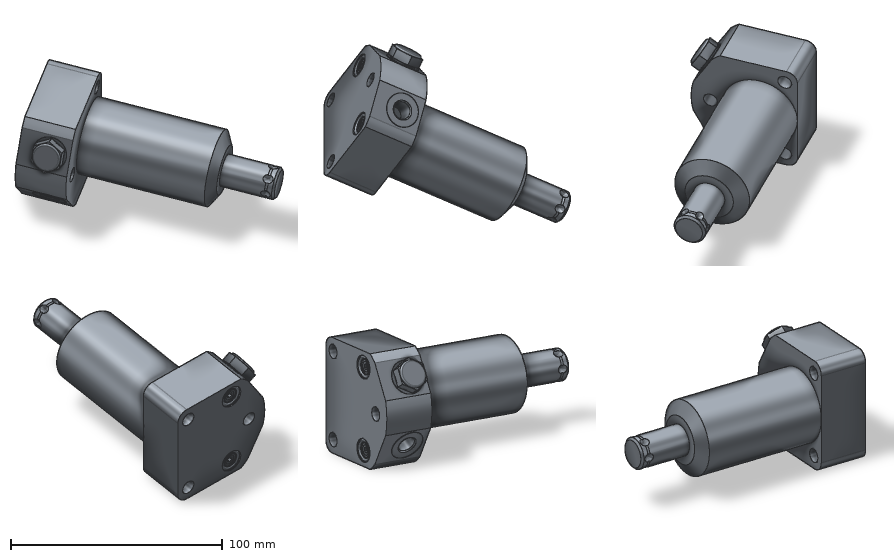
import cadquery as cq
import math


flange_thickness = 25.3
flange_height = 57.0
flange_back = 19.0
flange_round = 34.9
back_corner_radius = 5.5
port_flat_distance = 33.6
port_angle = 150

body_radius = flange_back
body_end = 89.0
nose_radius = 12.2
nose_end = 92.9
rod_radius = 7.9
rod_end = 119.9
rod_chamfer = 1.1

groove_x = 115.8
groove_width = 1.2
groove_depth = 0.4
dimple_radius = 2.4
dimple_depth = 2.4
dimple_count = 6
dimple_overshoot = 1.5

hole_diameter = 7.0
hole_circle_radius = 25.0
hole_angles = (60, 180, 300)

port_x = 15.2
spotface_diameter = 16.7
spotface_depth = 0.2
port_diameter = 8.5
port_depth = 10.8
port_chamfer = 0.6

collar_diameter = 12.6
hex_bottom = 0.7
hex_top = 5.5
plug_top = 6.5
hex_across_flats = 14.1
crown_radius = 7.0
crown_fillet = 0.8

seal_y = -14.3
seal_z = 20.5
seal_outer_radius = 5.8
seal_inner_radius = 4.0
seal_section_radius = (seal_outer_radius - seal_inner_radius) / 2
seal_sink = 0.2
face_sink = 1.0
rim_radius = 3.5
rim_depth = 0.1
cup_radius = 2.5
cup_depth = 0.2
socket_across_flats = 2.5
socket_depth = 1.8


def polar(radius, angle):
    """Point (Y, Z) at an angle from +Y towards +Z around the cylinder axis."""
    return (radius * math.cos(math.radians(angle)), radius * math.sin(math.radians(angle)))


def mirrored(point):
    """The same (Y, Z) point on the other side of the Z = 0 plane."""
    return (point[0], -point[1])


def make_flange():
    """Plate with two rounded back corners, its -Y side an arc cut by the two port flats."""
    half_height = flange_height / 2
    corner_angle = 180 - math.degrees(math.asin(half_height / flange_round))
    flat_half_angle = math.degrees(math.acos(port_flat_distance / flange_round))
    flat_start = port_angle - flat_half_angle
    corner = polar(flange_round, corner_angle)
    corner_mid = polar(flange_round, (corner_angle + flat_start) / 2)
    flat_upper = polar(flange_round, flat_start)
    flat_lower = polar(flange_round, port_angle + flat_half_angle)
    return (
        cq.Workplane("YZ")
        .moveTo(flange_back, half_height)
        .lineTo(*corner)
        .threePointArc(corner_mid, flat_upper)
        .lineTo(*flat_lower)
        .threePointArc((-flange_round, 0), mirrored(flat_lower))
        .lineTo(*mirrored(flat_upper))
        .threePointArc(mirrored(corner_mid), mirrored(corner))
        .lineTo(flange_back, -half_height)
        .close()
        .extrude(flange_thickness)
        .edges("|X and >Y")
        .fillet(back_corner_radius)
    )


def make_cylinder():
    """Body, conical nose and grooved rod, turned about the X axis."""
    half_groove = groove_width / 2
    return (
        cq.Workplane("XY")
        .moveTo(flange_thickness / 2, 0)
        .lineTo(flange_thickness / 2, body_radius)
        .lineTo(body_end, body_radius)
        .lineTo(nose_end, nose_radius)
        .lineTo(nose_end, rod_radius)
        .lineTo(groove_x - half_groove, rod_radius)
        .threePointArc((groove_x, rod_radius - groove_depth), (groove_x + half_groove, rod_radius))
        .lineTo(rod_end - rod_chamfer, rod_radius)
        .lineTo(rod_end, rod_radius - rod_chamfer)
        .lineTo(rod_end, 0)
        .close()
        .revolve(360, (0, 0, 0), (1, 0, 0))
    )


def make_dimple(angle):
    """Conical dimple pointing at the rod axis, widened past the rod surface so that it opens cleanly."""
    cone = cq.Solid.makeCone(
        0,
        dimple_overshoot * dimple_radius,
        dimple_overshoot * dimple_depth,
        pnt=cq.Vector(groove_x, *polar(rod_radius - dimple_depth, angle)),
        dir=cq.Vector(0, *polar(1, angle)),
    )
    return cq.Workplane(cone)


def make_mounting_holes():
    points = [polar(hole_circle_radius, angle) for angle in hole_angles]
    return cq.Workplane("YZ").pushPoints(points).circle(hole_diameter / 2).extrude(flange_thickness)


def port_plane(angle, height=0):
    """Plane facing out of a port, its local X axis along the flat; height is above the flat."""
    normal = polar(1, angle)
    along_flat = polar(1, angle - 90)
    origin = polar(port_flat_distance + height, angle)
    return cq.Workplane(cq.Plane((port_x, *origin), (0, *along_flat), (0, *normal)))


def make_spotface(angle):
    return port_plane(angle).circle(spotface_diameter / 2).extrude(-spotface_depth)


def make_port_bore(angle):
    bore = port_plane(angle).circle(port_diameter / 2).extrude(-port_depth)
    mouth = cq.Solid.makeCone(
        port_diameter / 2 + port_chamfer,
        port_diameter / 2,
        port_chamfer,
        pnt=port_plane(angle, -spotface_depth).plane.origin,
        dir=port_plane(angle).plane.zDir * -1,
    )
    return bore.union(cq.Workplane(mouth))


def make_plug(angle):
    collar_height = hex_bottom + spotface_depth
    collar = port_plane(angle, -spotface_depth).circle(collar_diameter / 2).extrude(collar_height)
    across_corners = hex_across_flats / math.cos(math.pi / 6)
    head = port_plane(angle, hex_bottom).polygon(6, across_corners).extrude(hex_top - hex_bottom)
    crown = cq.Workplane("XY").circle(crown_radius).extrude(plug_top - hex_bottom)
    crown = crown.faces(">Z").edges().fillet(crown_fillet)
    crown = crown.val().moved(port_plane(angle, hex_bottom).plane.location)
    return collar.union(head).union(cq.Workplane(crown))


def make_connection_recess(z):
    """Ring groove around a sunken face with a stepped, hexagon-ended socket at its centre."""
    def disc(radius, depth):
        return cq.Workplane("YZ", (0, seal_y, z)).circle(radius).extrude(depth)

    rim_floor = face_sink + rim_depth
    cup_floor = rim_floor + cup_depth
    ring_groove_depth = seal_sink + seal_section_radius
    recess = disc(seal_outer_radius, ring_groove_depth).cut(disc(seal_inner_radius, ring_groove_depth))
    recess = recess.union(disc(seal_inner_radius, face_sink))
    recess = recess.union(disc(rim_radius, rim_floor))
    recess = recess.union(disc(cup_radius, cup_floor))
    socket = (
        cq.Workplane(cq.Plane((0, seal_y, z), (0, 0, 1), (1, 0, 0)))
        .polygon(6, socket_across_flats / math.cos(math.pi / 6))
        .extrude(cup_floor + socket_depth)
    )
    return recess.union(socket)


def make_seal(z):
    """Round ring, half sunk in the floor of its groove, just below the rear face."""
    ring = cq.Solid.makeTorus(
        (seal_outer_radius + seal_inner_radius) / 2,
        seal_section_radius,
        pnt=cq.Vector(seal_sink + seal_section_radius, seal_y, z),
        dir=cq.Vector(1, 0, 0),
    )
    return cq.Workplane(ring)


rod_and_body = make_cylinder()
for index in range(dimple_count):
    rod_and_body = rod_and_body.cut(make_dimple(index * 360 / dimple_count))

result = make_flange().union(rod_and_body).cut(make_mounting_holes())
for angle in (port_angle, -port_angle):
    result = result.cut(make_spotface(angle))
result = result.cut(make_port_bore(-port_angle)).union(make_plug(port_angle))
for z in (seal_z, -seal_z):
    result = result.cut(make_connection_recess(z)).union(make_seal(z))